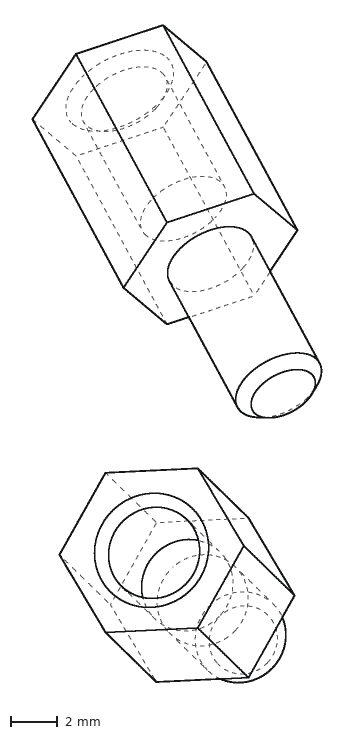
import cadquery as cq

total_length = 18.0
hex_length = 10.0
across_flats = 7.0

stud_diameter = 4.0
tip_chamfer = 0.5

hole_diameter = stud_diameter
hole_depth = 7.0
mouth_chamfer = 0.5

stud_length = total_length - hex_length
hex_side_count = 6
quarter_turn = 90


def hex_body():
    """Hexagonal body from X = 0, with flats facing up and down (+Z and -Z)."""
    return (
        cq.Workplane("YZ")
        .polygon(hex_side_count, across_flats, circumscribed=True)
        .extrude(hex_length)
        .rotate((0, 0, 0), (1, 0, 0), quarter_turn)
    )


def stud():
    """Round stud on the far end of the body, chamfered at its tip."""
    return (
        cq.Workplane("YZ", origin=(hex_length, 0, 0))
        .circle(stud_diameter / 2)
        .extrude(stud_length)
        .faces(">X")
        .chamfer(tip_chamfer)
    )


def countersunk_hole():
    """Half profile of the flat-bottomed hole, revolved about the X axis."""
    hole_radius = hole_diameter / 2
    return (
        cq.Workplane("XY")
        .moveTo(0, 0)
        .lineTo(0, hole_radius + mouth_chamfer)
        .lineTo(mouth_chamfer, hole_radius)
        .lineTo(hole_depth, hole_radius)
        .lineTo(hole_depth, 0)
        .close()
        .revolve(360, (0, 0, 0), (1, 0, 0))
    )


result = hex_body().union(stud()).cut(countersunk_hole())